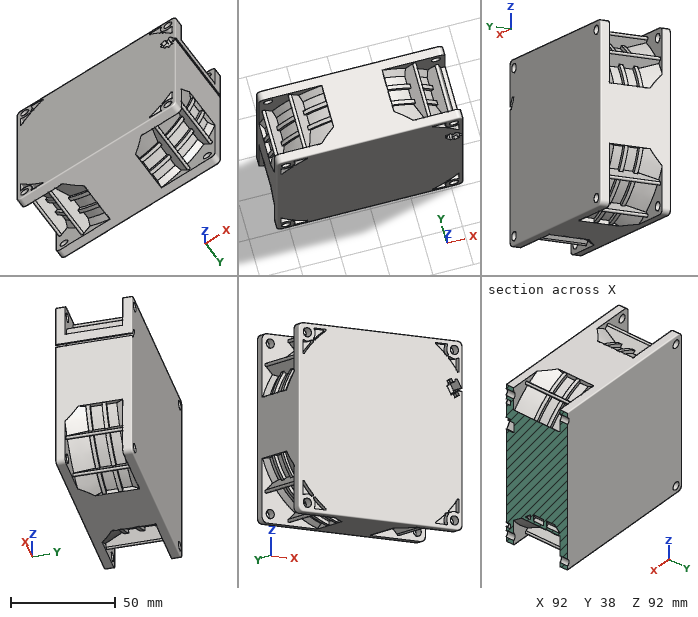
import cadquery as cq
import math

SIDE = 92.0
HALF = SIDE / 2
DEPTH = 38.0
FLANGE = 4.8
CORNER_RADIUS = 2.8
RIM_RADIUS = 0.6

FRONT = -DEPTH / 2
BACK = DEPTH / 2
GAP_FRONT = FRONT + FLANGE
GAP_BACK = BACK - FLANGE

WALL_HALF_WIDTH = 14.9
DUCT_RADIUS = 46.4
DUCT_FRONT_RADIUS = 51.2
DUCT_BACK_RADIUS = 48.1
RING_RADIUS = 48.1
RING_WIDTH = 2.0
RING_CENTRES = (-3.0, 5.0)
FRONT_CONE_END = -3.0
BACK_CONE_START = 10.9

ROD_RADIUS = 0.8
WEB_THICKNESS = 1.4
ROD_NEAR = 30.7
ROD_FAR = 43.6
SHIFTED_ROD = (41.8, 33.6)
WEB_LENGTH = 12.9

HOLE_OFFSET = 41.4
HOLE_DIAMETER = 4.4
POCKET_DEPTH = 2.5
POCKET_OUTER = 43.9
POCKET_ARC_RADIUS = 53.2
HOLE_BOSS_RADIUS = 4.3
POCKET_RIB = 0.9
POCKET_FILLET = 0.4

WIRE_ANGLE = 30.0
SEAT_START = 44.0
SEAT_LENGTH = 5.3
SEAT_WIDTH = 4.8
SEAT_CENTRE = -0.6
SEAT_DEPTH = FLANGE
CLIP_START = 45.3
CLIP_LENGTH = 2.8
CLIP_REACH = 2.0
CLIP_RAMP = 0.7
CLIP_LIP_DEPTH = 0.9
CLIP_DEPTH = 2.5
SLOT_WIDTH = 1.6
SLOT_BOTTOM = 21.7
SLOT_MOUTH_WIDTH = 1.6
SLOT_END = 2.6
WIRE_BLOCK_TOP = 28.5
WIRE_BLOCK_FLANK_ANGLE = 13.0
WIRE_BLOCK_INNER = 36.8


def box(x0, x1, y0, y1, z0, z1):
    return cq.Workplane("XY").box(x1 - x0, y1 - y0, z1 - z0, centered=False).translate((x0, y0, z0))


def along_y(y0):
    """Workplane whose local axes are X and Z; a negative extrusion runs toward +Y."""
    return cq.Workplane(cq.Plane((0, y0, 0), xDir=(1, 0, 0), normal=(0, -1, 0)))


def cylinder(radius, y0, y1, x=0.0, z=0.0):
    return along_y(y0).center(x, z).circle(radius).extrude(y0 - y1)


def flange(y0, outer_face):
    plate = along_y(y0).rect(SIDE, SIDE).extrude(-FLANGE)
    plate = plate.edges("|Y").fillet(CORNER_RADIUS)
    return plate.faces(outer_face).edges().fillet(RIM_RADIUS)


def duct():
    profile = [
        (0, GAP_FRONT),
        (DUCT_FRONT_RADIUS, GAP_FRONT),
        (DUCT_RADIUS, FRONT_CONE_END),
        (DUCT_RADIUS, BACK_CONE_START),
        (DUCT_BACK_RADIUS, GAP_BACK),
        (0, GAP_BACK),
    ]
    body = cq.Workplane("XY").polyline(profile).close().revolve(360, (0, 0, 0), (0, 1, 0))
    for centre in RING_CENTRES:
        body = body.union(cylinder(RING_RADIUS, centre - RING_WIDTH / 2, centre + RING_WIDTH / 2))
    return body.intersect(box(-HALF, HALF, GAP_FRONT, GAP_BACK, -HALF, HALF))


def side_walls():
    flat = WALL_HALF_WIDTH
    upright = box(-flat, flat, GAP_FRONT, GAP_BACK, -HALF, HALF)
    level = box(-HALF, HALF, GAP_FRONT, GAP_BACK, -flat, flat)
    return upright.union(level)


def rod_with_web(x, z):
    toward_x = -math.copysign(1, x)
    toward_z = -math.copysign(1, z)
    angle = math.degrees(math.atan2(toward_z, toward_x))
    web = along_y(GAP_FRONT).rect(WEB_LENGTH, WEB_THICKNESS).extrude(-(GAP_BACK - GAP_FRONT))
    web = web.translate((WEB_LENGTH / 2, 0, 0)).rotate((0, 0, 0), (0, 1, 0), -angle)
    return web.translate((x, 0, z)).union(cylinder(ROD_RADIUS, GAP_FRONT, GAP_BACK, x, z))


def corner_pockets(sx, sz):
    """Two blind pockets either side of a mounting hole, split by a rib on the diagonal."""
    y1 = FRONT + POCKET_DEPTH
    pocket = box(0, POCKET_OUTER, FRONT, y1, 0, POCKET_OUTER)
    pocket = pocket.cut(cylinder(POCKET_ARC_RADIUS, FRONT, y1))
    pocket = pocket.cut(cylinder(HOLE_BOSS_RADIUS, FRONT, y1, HOLE_OFFSET, HOLE_OFFSET))
    corner = box(HOLE_OFFSET, HALF, FRONT, y1, HOLE_OFFSET, HALF)
    rib = box(0, SIDE, FRONT, y1, -POCKET_RIB / 2, POCKET_RIB / 2)
    rib = rib.rotate((0, 0, 0), (0, 1, 0), -45)
    pocket = pocket.cut(corner).cut(rib).edges("|Y").fillet(POCKET_FILLET)
    if sx < 0:
        pocket = pocket.mirror("YZ")
    if sz < 0:
        pocket = pocket.mirror("XY")
    return pocket


def turn_to_wire(shape):
    return shape.rotate((0, 0, 0), (0, 1, 0), -WIRE_ANGLE)


def wire_seat():
    low = SEAT_CENTRE - SEAT_WIDTH / 2
    high = SEAT_CENTRE + SEAT_WIDTH / 2
    seat = box(SEAT_START, SEAT_START + SEAT_LENGTH, FRONT, FRONT + SEAT_DEPTH, low, high)
    return turn_to_wire(seat)


def clip_recess(side):
    """Recess beside the wire seat: its floor ramps down from a lip, then runs level."""
    lip = SEAT_CENTRE + side * SEAT_WIDTH / 2
    outline = [
        (FRONT, lip),
        (FRONT + CLIP_LIP_DEPTH, lip),
        (FRONT + CLIP_DEPTH, lip + side * CLIP_RAMP),
        (FRONT + CLIP_DEPTH, lip + side * CLIP_REACH),
        (FRONT, lip + side * CLIP_REACH),
    ]
    recess = cq.Workplane("YZ").polyline(outline).close().extrude(CLIP_LENGTH)
    return turn_to_wire(recess.translate((CLIP_START, 0, 0)))


def wire_block():
    """Block around the wire slot; a steep flank leaves the shifted rod tangentially."""
    lean = math.radians(WIRE_BLOCK_FLANK_ANGLE)
    rod_x, rod_z = SHIFTED_ROD
    tangent_x = rod_x + ROD_RADIUS * math.cos(lean)
    tangent_z = rod_z + ROD_RADIUS * math.sin(lean)
    flank_foot_x = tangent_x + (tangent_z - WIRE_BLOCK_TOP) * math.tan(lean)
    outline = [
        (WIRE_BLOCK_INNER, 0),
        (HALF, 0),
        (HALF, WIRE_BLOCK_TOP),
        (flank_foot_x, WIRE_BLOCK_TOP),
        (tangent_x, tangent_z),
        SHIFTED_ROD,
        (WIRE_BLOCK_INNER, rod_z - (rod_x - WIRE_BLOCK_INNER)),
    ]
    return along_y(GAP_FRONT).polyline(outline).close().extrude(GAP_FRONT - GAP_BACK)


def wire_slot():
    """Slot through the full depth: level at the mouth, then turned up along the wire seat."""
    slant = math.radians(WIRE_ANGLE)
    near = SEAT_START + SEAT_LENGTH
    far = near + SLOT_WIDTH
    mouth_top = SLOT_BOTTOM + SLOT_MOUTH_WIDTH

    def on_slant(distance, z):
        return ((distance - z * math.sin(slant)) / math.cos(slant), z)

    def slot_end(distance, height):
        x = distance * math.cos(slant) - height * math.sin(slant)
        z = distance * math.sin(slant) + height * math.cos(slant)
        return (x, z)

    sketch = along_y(FRONT).moveTo(HALF, SLOT_BOTTOM)
    sketch = sketch.lineTo(*on_slant(near, SLOT_BOTTOM))
    sketch = sketch.lineTo(*slot_end(near, SLOT_END - SLOT_WIDTH / 2))
    sketch = sketch.threePointArc(
        slot_end(near + SLOT_WIDTH / 2, SLOT_END),
        slot_end(far, SLOT_END - SLOT_WIDTH / 2),
    )
    sketch = sketch.lineTo(*on_slant(far, mouth_top)).lineTo(HALF, mouth_top)
    return sketch.close().extrude(-DEPTH)


result = duct().union(side_walls()).union(wire_block())

rod_places = [SHIFTED_ROD, (ROD_NEAR, ROD_FAR)]
for side_x, side_z in ((-1, 1), (-1, -1), (1, -1)):
    rod_places.append((side_x * ROD_NEAR, side_z * ROD_FAR))
    rod_places.append((side_x * ROD_FAR, side_z * ROD_NEAR))
for rod_x, rod_z in rod_places:
    result = result.union(rod_with_web(rod_x, rod_z))

result = result.union(flange(FRONT, "<Y")).union(flange(GAP_BACK, ">Y"))

for side_x in (-1, 1):
    for side_z in (-1, 1):
        hole_x = side_x * HOLE_OFFSET
        hole_z = side_z * HOLE_OFFSET
        result = result.cut(cylinder(HOLE_DIAMETER / 2, FRONT, BACK, hole_x, hole_z))
        result = result.cut(corner_pockets(side_x, side_z))

result = result.cut(wire_slot())
result = result.cut(wire_seat())
for side in (-1, 1):
    result = result.cut(clip_recess(side))